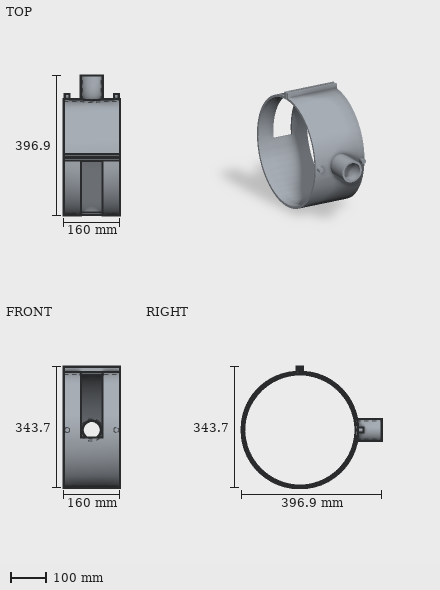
import cadquery as cq

width = 160.0
outer_radius = 164.7
wall = 7.0
inner_radius = outer_radius - wall

split_gap = 4.8
flange_thickness = 6.7
flange_top = 179.0

tube_end = 232.2
tube_radius = 31.8
bore_radius = 25.8

pin_radius = 7.0
pin_end = 179.5
pin_offset = 69.5

window_width = 61.0
window_bottom = -21.0
window_setback = 1.0


def x_cylinder(radius):
    return cq.Workplane("YZ", origin=(-width / 2, 0, 0)).circle(radius).extrude(width)


def y_cylinder(radius, end, x=0):
    """Cylinder along +Y from the ring axis, centred at height zero."""
    return cq.Workplane("XZ").center(x, 0).circle(radius).extrude(-end)


def block(x_size, y_min, y_max, z_min, z_max):
    """Block centred on X."""
    base = cq.Workplane("XY", origin=(0, y_min, z_min))
    return base.box(x_size, y_max - y_min, z_max - z_min, centered=(True, False, False))


flange_outer = split_gap / 2 + flange_thickness

body = x_cylinder(outer_radius)
body = body.union(block(width, -flange_outer, flange_outer, 0, flange_top))
body = body.union(y_cylinder(tube_radius, tube_end))
for side in (-1, 1):
    body = body.union(y_cylinder(pin_radius, pin_end, side * pin_offset))

body = body.cut(x_cylinder(inner_radius))
body = body.cut(y_cylinder(bore_radius, tube_end))
body = body.cut(block(width, -split_gap / 2, split_gap / 2, 0, flange_top))
window_edge = -flange_outer - window_setback
body = body.cut(block(window_width, -outer_radius, window_edge, window_bottom, outer_radius))

result = body.clean()